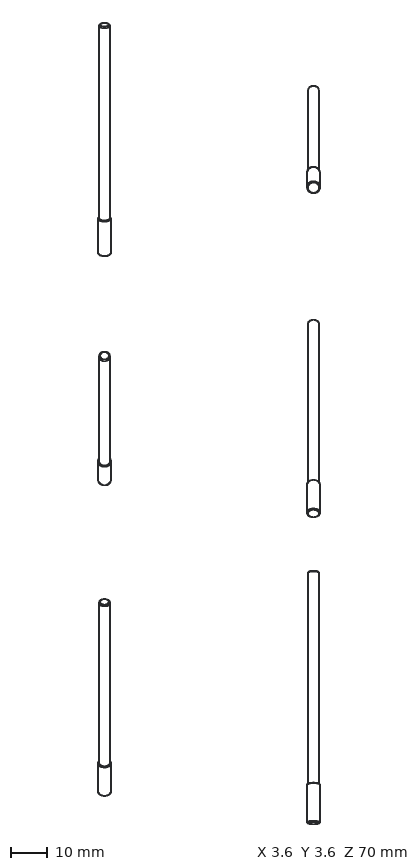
import cadquery as cq

TOTAL_LENGTH = 70.0
ROD_DIAMETER = 3.0
ROD_TOP_CHAMFER = 0.35
SLEEVE_DIAMETER = 3.6
SLEEVE_LENGTH = 11.0
SLEEVE_TOP_TAPER = 0.3
SLEEVE_BOTTOM_TAPER = 0.3

ROD_RADIUS = ROD_DIAMETER / 2
SLEEVE_RADIUS = SLEEVE_DIAMETER / 2


def make_rod():
    """Full-length round rod with a chamfered top end."""
    rod = cq.Workplane("XY").circle(ROD_RADIUS).extrude(TOTAL_LENGTH)
    return rod.faces(">Z").edges().chamfer(ROD_TOP_CHAMFER)


def make_sleeve():
    """Sleeve around the foot of the rod, tapering in to the rod at both ends."""
    half_section = (
        cq.Workplane("XZ")
        .moveTo(ROD_RADIUS, 0)
        .lineTo(SLEEVE_RADIUS, SLEEVE_BOTTOM_TAPER)
        .lineTo(SLEEVE_RADIUS, SLEEVE_LENGTH - SLEEVE_TOP_TAPER)
        .lineTo(ROD_RADIUS, SLEEVE_LENGTH)
        .close()
    )
    return half_section.revolve(360, (0, 0, 0), (0, 1, 0))


rod = make_rod()
sleeve = make_sleeve()
result = cq.Compound.makeCompound([rod.val(), sleeve.val()])